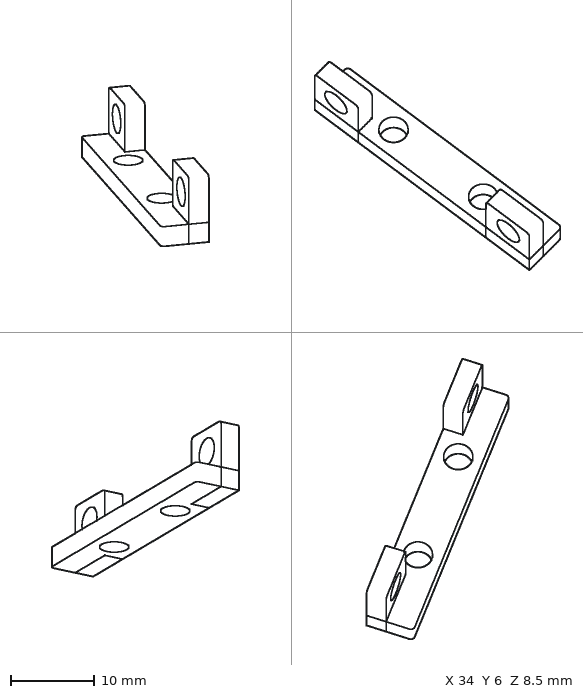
import cadquery as cq

LENGTH = 34.0
DEPTH = 6.0
HEIGHT = 8.5

THICKNESS = 2.5

LUG_WIDTH = 6.9
LUG_HEIGHT = HEIGHT - THICKNESS
CORNER_RADIUS = 0.5

HOLE_DIAMETER = 3.5
PLATE_HOLE_SPACING = 14.2
LUG_HOLE_SPACING = 27.3

LUG_FRONT_Y = DEPTH - THICKNESS
LUG_CENTER_X = (LENGTH - LUG_WIDTH) / 2
LUG_HOLE_X = LUG_HOLE_SPACING / 2
LUG_HOLE_Z = THICKNESS + LUG_HEIGHT / 2
SIDES = (-1, 1)


def make_end_box(side, bottom_z, height):
    """Box in the rear corner at one end: side -1 is the -X end, +1 the +X end."""
    return cq.Workplane("XY").box(LUG_WIDTH, THICKNESS, height, centered=(True, False, False)).translate(
        (side * LUG_CENTER_X, LUG_FRONT_Y, bottom_z)
    )


def make_plate():
    """Flat base with two vertical holes and a notch at each rear corner for a corner block."""
    plate = cq.Workplane("XY").box(LENGTH, DEPTH, THICKNESS, centered=(True, False, False))
    plate = plate.edges("|Z and <Y").fillet(CORNER_RADIUS)
    holes = (
        cq.Workplane("XY")
        .pushPoints([(side * PLATE_HOLE_SPACING / 2, DEPTH / 2) for side in SIDES])
        .circle(HOLE_DIAMETER / 2)
        .extrude(THICKNESS)
    )
    plate = plate.cut(holes)
    for side in SIDES:
        plate = plate.cut(make_corner_block(side))
    return plate


def make_corner_block(side):
    """Plain block filling a rear corner notch of the plate, directly below a lug."""
    return make_end_box(side, 0, THICKNESS)


def make_lug(side):
    """Upright lug with rounded top corners and a through hole along Y."""
    lug = make_end_box(side, THICKNESS, LUG_HEIGHT).edges("|Y and >Z").fillet(CORNER_RADIUS)
    hole = (
        cq.Workplane("XZ", origin=(side * LUG_HOLE_X, DEPTH, LUG_HOLE_Z))
        .circle(HOLE_DIAMETER / 2)
        .extrude(THICKNESS)
    )
    return lug.cut(hole)


plate = make_plate()
corner_blocks = [make_corner_block(side) for side in SIDES]
lugs = [make_lug(side) for side in SIDES]

result = cq.Compound.makeCompound(
    [
        plate.val(),
        *[block.val() for block in corner_blocks],
        *[lug.val() for lug in lugs],
    ]
)